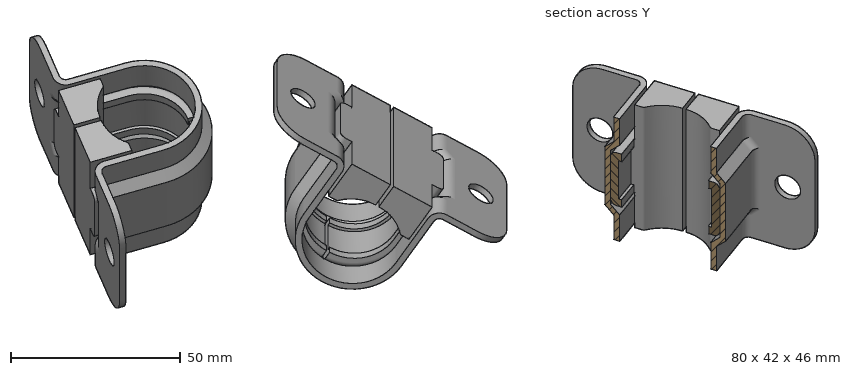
import cadquery as cq
import math

strap_length = 80.0
strap_height = 46.0
sheet = 2.0
saddle_center_y = 22.0
end_inner_diameter = 30.0
bulge_inner_diameter = 36.0
end_inner_radius = end_inner_diameter / 2
bulge_inner_radius = bulge_inner_diameter / 2
bulge_half_height = 10.0
slope_angle = 45.0
back_bend_radius = 2.0
front_bend_radius = back_bend_radius + sheet
flange_corner_radius = 10.0
mount_hole_diameter = 8.5
mount_hole_spacing = 62.0

half_gap = 0.6
bore_radius = 13.8
groove_radius = 14.7
groove_half_height = 7.0
block_outer_x = 14.0
block_depth = 13.0
block_tip_radius = 1.0
ring_edge_radius = 2.0

pick_margin = 0.1


def saddle(inner_offset):
    """Half-round saddle with straight legs, `inner_offset` outside the inner face of the sheet."""
    end_radius = end_inner_radius + inner_offset
    bulge_radius = bulge_inner_radius + inner_offset
    slope_start = bulge_half_height + inner_offset * math.tan(math.radians(slope_angle / 2))
    slope_end = slope_start + (bulge_radius - end_radius) / math.tan(math.radians(slope_angle))
    top = strap_height / 2
    right_side = [
        (end_radius, -top),
        (end_radius, -slope_end),
        (bulge_radius, -slope_start),
        (bulge_radius, slope_start),
        (end_radius, slope_end),
        (end_radius, top),
    ]
    left_side = [(-x, z) for x, z in reversed(right_side)]
    plane = cq.Workplane("XZ", origin=(0, saddle_center_y, 0))
    legs = plane.polyline(right_side + left_side).close().extrude(saddle_center_y)
    axis_ends = [(0, top), (0, -top)]
    arch = plane.polyline(right_side + axis_ends).close().revolve(180, (0, 0, 0), (0, 1, 0))
    return legs.union(arch)


def saddle_outline_edges(body, y, inner_offset):
    """Edges where the saddle legs cross the plane at `y`."""
    reach = bulge_inner_radius + inner_offset + pick_margin
    outline = cq.selectors.BoxSelector(
        (-reach, y - pick_margin, -strap_height),
        (reach, y + pick_margin, strap_height),
        boundingbox=True,
    )
    return body.edges(outline)


def make_strap():
    flange = (
        cq.Workplane("XY")
        .box(strap_length, sheet, strap_height, centered=(True, False, True))
        .edges("|Y")
        .fillet(flange_corner_radius)
    )
    strap = flange.union(saddle(sheet))
    strap = saddle_outline_edges(strap, sheet, sheet).fillet(back_bend_radius)
    strap = strap.cut(saddle(0))
    strap = saddle_outline_edges(strap, 0, 0).fillet(front_bend_radius)
    holes = (
        cq.Workplane("XZ")
        .pushPoints([(-mount_hole_spacing / 2, 0), (mount_hole_spacing / 2, 0)])
        .circle(mount_hole_diameter / 2)
        .extrude(-sheet)
    )
    return strap.cut(holes)


def half_arch(radius, front_y, half_height):
    """Prism with one straight leg from `front_y` and a quarter-round end beside the split face."""
    return (
        cq.Workplane("XY", origin=(0, 0, -half_height))
        .moveTo(half_gap, front_y)
        .lineTo(half_gap + radius, front_y)
        .lineTo(half_gap + radius, saddle_center_y)
        .radiusArc((half_gap, saddle_center_y + radius), -radius)
        .close()
        .extrude(2 * half_height)
    )


def block_blank():
    """Plain full-height block at the open side of the strap, before it is bored."""
    length = block_outer_x - half_gap
    blank = cq.Workplane("XY").box(length, block_depth, strap_height, centered=(False, False, True))
    return blank.translate((half_gap, 0, 0))


def make_ring():
    """Half ring that fills the bulge, rounded outside, grooved inside, cut away for the block."""
    outer_radius = bulge_inner_radius - half_gap
    ring = half_arch(outer_radius, 0, bulge_half_height)
    ring = ring.faces(">Z or <Z").edges(">X").fillet(ring_edge_radius)
    opening = half_arch(bore_radius, block_depth, bulge_half_height)
    groove = half_arch(groove_radius, block_depth, groove_half_height)
    return ring.cut(opening).cut(groove).cut(block_blank())


def make_block():
    """Block hollowed by the bore, with its sharp tip rounded."""
    bore = (
        cq.Workplane("XY", origin=(half_gap, saddle_center_y, -strap_height / 2))
        .circle(bore_radius)
        .extrude(strap_height)
    )
    bored = block_blank().cut(bore)
    return bored.faces(">Y").edges("<X").fillet(block_tip_radius)


def make_insert():
    """Right-hand insert: ring and block in one piece."""
    return make_ring().union(make_block())


strap = make_strap()
right_insert = make_insert()
left_insert = right_insert.mirror("YZ")

result = cq.Compound.makeCompound([strap.val(), right_insert.val(), left_insert.val()])